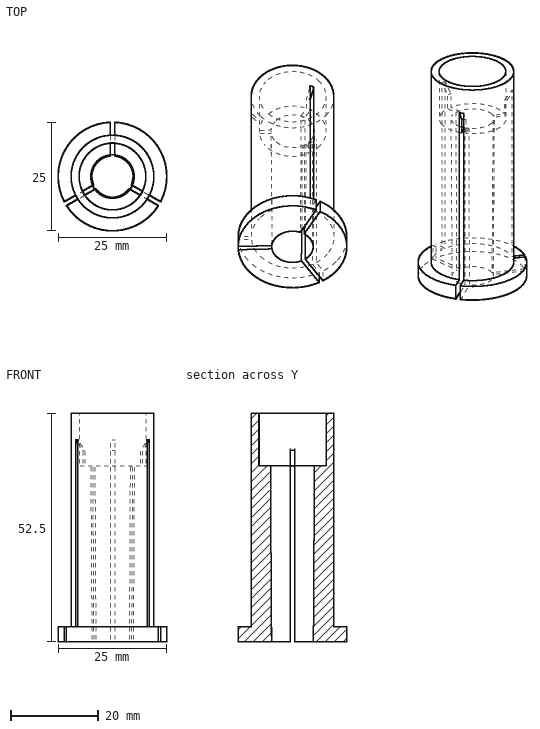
import cadquery as cq

height = 52.5
flange_diameter = 25.0
flange_thickness = 3.5
tube_diameter = 19.0

socket_diameter = 15.35
socket_floor = 40.4
bore_top_diameter = 10.0
bore_bottom_diameter = 9.5

slot_count = 3
slot_width = 1.0
slot_top = 46.4
slot_inner_top = 40.35
first_slot_angle = 90


def make_body():
    flange = cq.Workplane("XY").circle(flange_diameter / 2).extrude(flange_thickness)
    tube = cq.Workplane("XY").circle(tube_diameter / 2).extrude(height)
    return flange.union(tube)


def make_bore():
    """Revolve the tapered lower bore and the straight socket above it."""
    return (
        cq.Workplane("XZ")
        .lineTo(bore_bottom_diameter / 2, 0)
        .lineTo(bore_top_diameter / 2, socket_floor)
        .lineTo(socket_diameter / 2, socket_floor)
        .lineTo(socket_diameter / 2, height)
        .lineTo(0, height)
        .close()
        .revolve(360, (0, 0, 0), (0, 1, 0))
    )


def make_slot(angle):
    """Slot cutter whose upper end slopes down from the tube surface toward the bore."""
    tube_radius = tube_diameter / 2
    bore_radius = bore_top_diameter / 2
    roof_slope = (slot_top - slot_inner_top) / (tube_radius - bore_radius)
    axis_top = slot_inner_top - roof_slope * bore_radius
    return (
        cq.Workplane("XZ")
        .lineTo(0, axis_top)
        .lineTo(tube_radius, slot_top)
        .lineTo(flange_diameter, slot_top)
        .lineTo(flange_diameter, 0)
        .close()
        .extrude(slot_width / 2, both=True)
        .rotate((0, 0, 0), (0, 0, 1), angle)
    )


result = make_body().cut(make_bore())
for index in range(slot_count):
    result = result.cut(make_slot(first_slot_angle + index * 360 / slot_count))